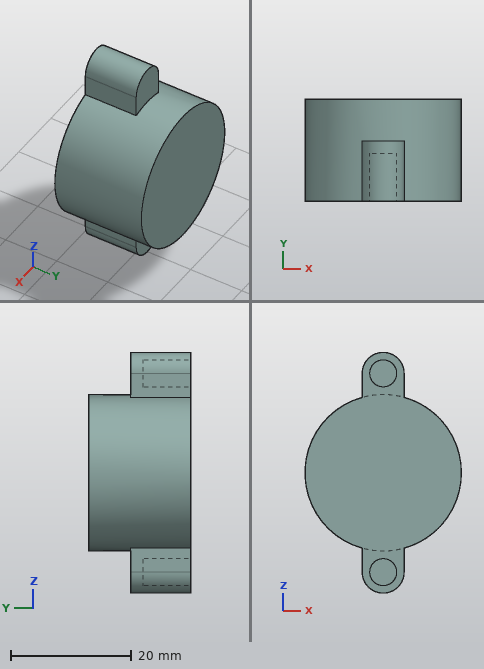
import cadquery as cq

body_diameter = 26.0
body_depth = 17.0
overall_height = 40.0
lug_width = 7.0
lug_depth = 10.0
hole_diameter = 4.5
hole_depth = 8.0

hole_spacing = overall_height - lug_width


def extrude_back(sketch, depth):
    """Extrude from the flat front face toward +Y."""
    return sketch.extrude(-depth)


def front_plane():
    """Workplane on the front face, facing -Y, centred on the body axis."""
    return cq.Workplane("XZ")


def make_body():
    return extrude_back(front_plane().circle(body_diameter / 2), body_depth)


def make_lugs():
    """One round-ended bar through the body forms both mounting lugs."""
    return extrude_back(front_plane().slot2D(overall_height, lug_width, 90), lug_depth)


def make_holes():
    """Blind mounting holes, open at the front face."""
    centers = [(0, side * hole_spacing / 2) for side in (-1, 1)]
    return extrude_back(front_plane().pushPoints(centers).circle(hole_diameter / 2), hole_depth)


result = make_body().union(make_lugs()).cut(make_holes())